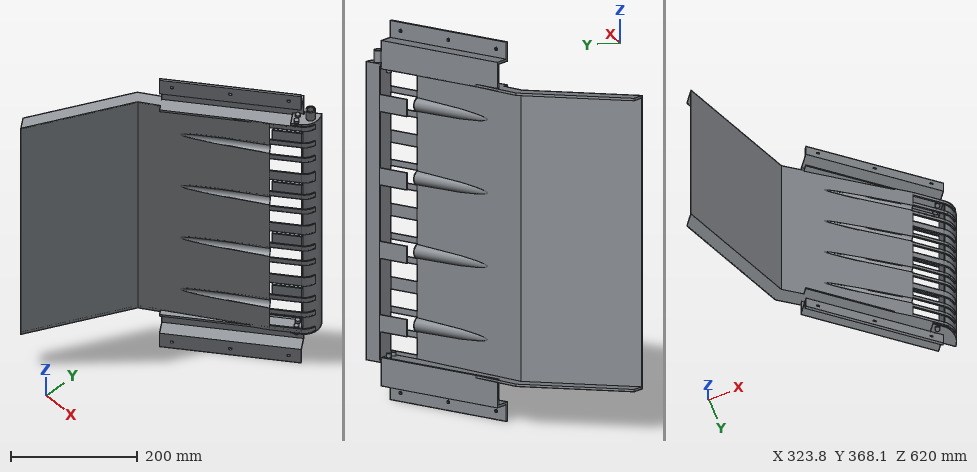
import cadquery as cq
import math

mount_angle = 38.38

sheet = 2.0
plate = 4.0

flap_half = 240.0
bar_half = flap_half + plate
overall_half = 310.0

bar_x = -10.9
bar_y = 10.5
bar_radius = 28.0
bar_base_y = bar_y - bar_radius
flap_base_y = bar_base_y - sheet

fold_x = -62.0
upper_length = 213.0
lower_length = 193.5
upper_slope = 3.8
lower_slope = 26.1
cheek_width = 20.0

finger_wrap = 45.0
narrow_finger = 10.0
wide_finger = 20.0
finger_pitch = 120.0

bulge_count = 4
bulge_inner_radius = 9.5
bulge_outer_radius = bulge_inner_radius + sheet
bulge_half_gap = 12.0
tongue_width = 28.0

bracket_left = -238.0
bracket_right = -11.5
bracket_top_y = 9.5
bracket_height = 28.0
bracket_web_z = 278.5
hole_diameter = 5.0
hole_inset = 20.0
hole_z = 296.0

shaft_x = 1.0
shaft_y = -0.5
shaft_diameter = 15.0
shaft_top = 263.0
bore_diameter = 10.0
bore_depth = 20.0
bolt_diameter = 8.0
bolt_spacing = 12.5
bolt_bottom = 230.0
bolt_top = bar_half + plate
end_plate_left = -28.5

flange_inner_y = bracket_top_y - plate
bracket_base_y = bracket_top_y - bracket_height
bolt_x = (end_plate_left + bar_x) / 2
bolt_y = (bar_base_y + flange_inner_y) / 2
bulge_centers = [(i - (bulge_count - 1) / 2) * finger_pitch for i in range(bulge_count)]


def block(x0, x1, y0, y1, z0, z1):
    """Rectangular block between two opposite corners."""
    return cq.Workplane("XY").box(x1 - x0, y1 - y0, z1 - z0, centered=False).translate((x0, y0, z0))


def prism(points, z0, z1):
    """Straight-sided outline extruded from z0 to z1."""
    return cq.Workplane("XY").workplane(offset=z0).polyline(points).close().extrude(z1 - z0)


def cylinder(x, y, diameter, z0, z1):
    """Round rod along Z."""
    return cq.Workplane("XY").workplane(offset=z0).center(x, y).circle(diameter / 2).extrude(z1 - z0)


def mirrored(body):
    """Copy of a body on the other side of the middle plane."""
    return body.mirror("XY")


def flap_band(depth):
    """Outline of the bent flap, `depth` thick above its outer face."""
    up = math.radians(upper_slope)
    low = math.radians(lower_slope)
    bend_x = fold_x - upper_length * math.cos(up)
    bend_y = flap_base_y + upper_length * math.sin(up)
    end_x = bend_x - lower_length * math.cos(low)
    end_y = bend_y - lower_length * math.sin(low)
    half_bend = (low + up) / 2
    miter = depth / math.cos(half_bend)
    miter_angle = math.pi / 2 + (low - up) / 2
    return [
        (fold_x, flap_base_y),
        (bend_x, bend_y),
        (end_x, end_y),
        (end_x, end_y + depth / math.cos(low)),
        (bend_x + miter * math.cos(miter_angle), bend_y + miter * math.sin(miter_angle)),
        (fold_x, flap_base_y + depth / math.cos(up)),
    ]


def quarter_round(z0, z1):
    """Quarter-round section of the bar, extruded from z0 to z1."""
    diagonal = bar_radius * math.sqrt(0.5)
    return (
        cq.Workplane("XY")
        .workplane(offset=z0)
        .moveTo(bar_x, bar_y)
        .lineTo(bar_x, bar_base_y)
        .threePointArc((bar_x + diagonal, bar_y - diagonal), (bar_x + bar_radius, bar_y))
        .close()
        .extrude(z1 - z0)
    )


def finger(z0, z1):
    """Strap along the underside of the bar, hooked around its round side."""

    def on_arc(radius, wrap):
        angle = math.radians(wrap - 90)
        return (bar_x + radius * math.cos(angle), bar_y + radius * math.sin(angle))

    outer = bar_radius + sheet
    return (
        cq.Workplane("XY")
        .workplane(offset=z0)
        .moveTo(fold_x, flap_base_y)
        .lineTo(bar_x, flap_base_y)
        .threePointArc(on_arc(outer, finger_wrap / 2), on_arc(outer, finger_wrap))
        .lineTo(*on_arc(bar_radius, finger_wrap))
        .threePointArc(on_arc(bar_radius, finger_wrap / 2), on_arc(bar_radius, 0))
        .lineTo(fold_x, bar_base_y)
        .close()
        .extrude(z1 - z0)
    )


def bracket_flange():
    """Inner flange of the upper bracket, let into the cheek of the flap."""
    z0 = flap_half - plate
    return block(bracket_left, bracket_right, flange_inner_y, bracket_top_y, z0, bracket_web_z + plate)


def make_bracket():
    """Upper Z-shaped bracket with a row of holes in its outer flange."""
    left = bracket_left
    right = bracket_right
    flange_face_y = bracket_base_y + plate
    web = block(left, right, bracket_base_y, bracket_top_y, bracket_web_z, bracket_web_z + plate)
    outer = block(left, right, bracket_base_y, flange_face_y, bracket_web_z, overall_half)
    bracket = web.union(outer).union(bracket_flange())
    middle = (left + right) / 2
    for x in (left + hole_inset, middle, right - hole_inset):
        center = cq.Workplane("XZ", origin=(x, bracket_base_y, hole_z))
        hole = center.circle(hole_diameter / 2).extrude(-plate)
        bracket = bracket.cut(hole)
    return bracket


def make_bolts():
    """Two upper bolts that join the cheek to the end plate of the bar."""
    offsets = (-bolt_spacing / 2, bolt_spacing / 2)
    return [cylinder(bolt_x, bolt_y + dy, bolt_diameter, bolt_bottom, bolt_top) for dy in offsets]


def make_cheek():
    """Upper cheek: bent side wall with a straight foot beside the bracket."""
    z0 = flap_half - plate
    wall = prism(flap_band(cheek_width), z0, flap_half)
    foot = block(bracket_left, bracket_right, bar_base_y, flange_inner_y, z0, flap_half)
    cheek = wall.union(foot).cut(bracket_flange())
    for bolt in make_bolts():
        cheek = cheek.cut(bolt)
    return cheek


def make_flap():
    """Bent sheet with bulges, fingers and a cheek at each end."""
    flap = prism(flap_band(sheet), -flap_half, flap_half)
    above_sheet = prism(flap_band(2 * bulge_outer_radius), -flap_half, flap_half)
    for z in bulge_centers:
        start = cq.Workplane("YZ", origin=(fold_x - upper_length, flap_base_y, z))
        shell = start.circle(bulge_outer_radius).extrude(upper_length).intersect(above_sheet)
        hollow = start.circle(bulge_inner_radius).extrude(upper_length)
        flap = flap.union(shell).cut(hollow)

    for z in bulge_centers:
        flap = flap.union(finger(z + bulge_half_gap, z + bulge_half_gap + narrow_finger))
        flap = flap.union(finger(z - bulge_half_gap - narrow_finger, z - bulge_half_gap))
    for i in range(bulge_count + 1):
        z = (i - bulge_count / 2) * finger_pitch
        low = max(z - wide_finger / 2, -flap_half)
        high = min(z + wide_finger / 2, flap_half)
        flap = flap.union(finger(low, high))

    cheek = make_cheek()
    return flap.union(cheek).union(mirrored(cheek))


def make_tongue_strip():
    """Strip on the inner face of the bar, with a tongue above each bulge."""
    face = block(bar_x, bar_x + sheet, flap_base_y, bar_y, -flap_half, flap_half)
    strip = face.intersect(quarter_round(-flap_half, flap_half))
    for z in bulge_centers:
        z0 = z - tongue_width / 2
        strip = strip.union(block(fold_x, bar_x + sheet, bar_y - sheet, bar_y, z0, z0 + tongue_width))
    return strip


def make_shaft():
    """Shaft with a blind bore in its upper end."""
    shaft = cylinder(shaft_x, shaft_y, shaft_diameter, -flap_half, shaft_top)
    return shaft.cut(cylinder(shaft_x, shaft_y, bore_diameter, shaft_top - bore_depth, shaft_top))


def make_bar():
    """Quarter-round bar with an end plate outside each cheek."""
    bar = quarter_round(-bar_half, bar_half)
    end_plate = block(end_plate_left, bar_x, bar_base_y, flange_inner_y, flap_half, bar_half)
    for bolt in make_bolts():
        end_plate = end_plate.cut(bolt)
    bar = bar.union(end_plate).union(mirrored(end_plate))
    shaft_seat = cylinder(shaft_x, shaft_y, shaft_diameter, -flap_half, bar_half)
    return bar.cut(make_tongue_strip()).cut(shaft_seat)


bracket = make_bracket()
bolts = make_bolts()
flap = make_flap()
bar = make_bar()
tongue_strip = make_tongue_strip()
shaft = make_shaft()

bodies = [flap, bar, tongue_strip, shaft, bracket, mirrored(bracket)]
for bolt in bolts:
    bodies += [bolt, mirrored(bolt)]

turned = [body.rotate((0, 0, 0), (0, 0, 1), mount_angle).val() for body in bodies]
result = cq.Compound.makeCompound(turned)